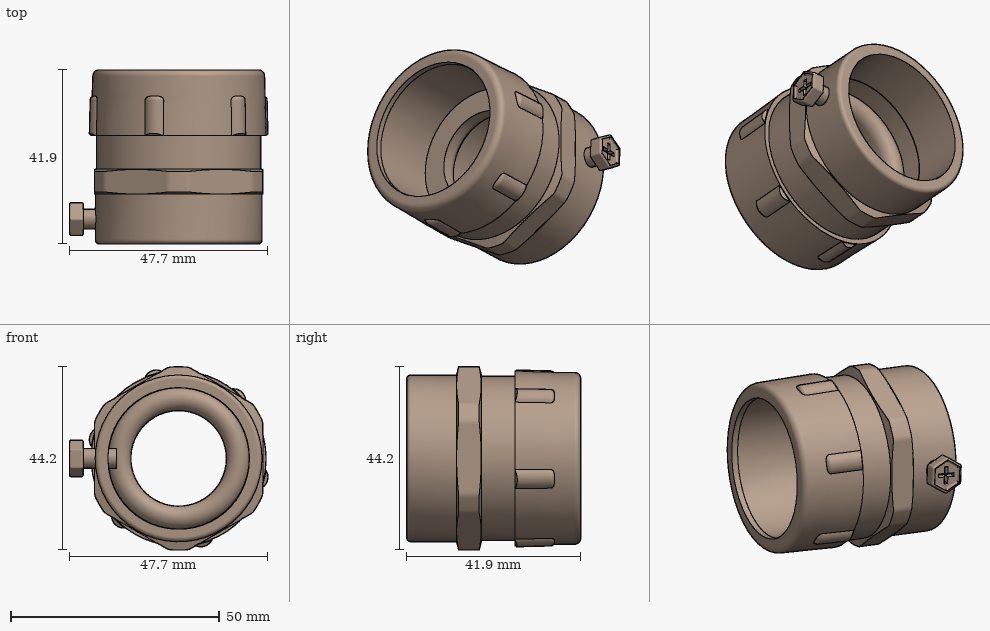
import cadquery as cq
import math


overall_length = 41.9
hex_front = 12.0
hex_back = 18.0
cap_front = 26.05
relief_start = 13.2

mouth_diameter = 40.1
mouth_fillet = 1.0
sleeve_diameter = 39.6
mouth_bore = 33.95
relief_bore = 34.2
throat_bore = 22.9
throat_start = 19.9

hex_flats = 40.5
hex_corner_diameter = 44.15
hex_corner_blend = 2.75
hex_bevel_angle = 15.0

cap_front_diameter = 42.1
cap_back_diameter = 41.4
cap_back_fillet = 1.58
cap_lip = cap_back_fillet

rib_count = 6
rib_first_angle = 46.3
rib_radius = 2.95
rib_axis_offset = 19.1
rib_length = 9.5
rib_back_fillet = 1.05
rib_front_bevel = 0.55

screw_y = 6.0
screw_turn = 2.3
shank_diameter = 4.8
shank_tip_x = -15.0
head_under_x = -22.9
head_height = 3.35
head_flats = 7.8
head_round = 0.5
recess_flats = 6.65
recess_depth = 0.55
recess_floor_fillet = 0.53
cross_length = 4.25
cross_width = 0.9
cross_depth = 0.85
cross_draft = 25.0

housing_back = overall_length - cap_lip
cone_length = overall_length - cap_back_fillet - cap_front
cone_slope = (cap_front_diameter - cap_back_diameter) / 2 / cone_length
cone_angle = math.degrees(math.atan(cone_slope))
throat_round = (relief_bore - throat_bore) / 4
throat_back = throat_start + throat_round
throat_crest_radius = throat_bore / 2 + throat_round


def hexagon_diameter(flats):
    """Corner-to-corner diameter of a hexagon with the given width across flats."""
    return flats / math.cos(math.radians(30))


def revolve_about_y(profile):
    """Revolve an XY profile (X is the radius) fully around the Y axis."""
    return profile.close().revolve(360, (0, 0, 0), (0, 1, 0))


def tube(outer_diameter, start, end):
    """Solid round bar along Y between two stations."""
    plane = cq.Workplane("XZ", origin=(0, start, 0))
    return plane.circle(outer_diameter / 2).extrude(start - end)


def wrench_hexagon():
    """Hexagon with rounded-off corners at top and bottom, bevelled on both end faces."""
    width = hex_back - hex_front
    hexagon = (
        cq.Workplane("XZ", origin=(0, hex_front, 0))
        .transformed(rotate=(0, 0, 90))
        .polygon(6, hexagon_diameter(hex_flats))
        .extrude(-width)
        .intersect(tube(hex_corner_diameter, hex_front, hex_back))
        .edges("|Y")
        .fillet(hex_corner_blend)
    )
    flat_radius = mouth_diameter / 2
    outer_radius = hexagon_diameter(hex_flats) / 2
    rise = (outer_radius - flat_radius) * math.tan(math.radians(hex_bevel_angle))
    bevel_envelope = revolve_about_y(
        cq.Workplane("XY")
        .moveTo(0, hex_front)
        .lineTo(flat_radius, hex_front)
        .lineTo(outer_radius, hex_front + rise)
        .lineTo(outer_radius, hex_back - rise)
        .lineTo(flat_radius, hex_back)
        .lineTo(0, hex_back)
    )
    return hexagon.intersect(bevel_envelope)


def bore_space():
    """Space inside the housing: mouth, relief, half-round throat ring and back opening."""
    return revolve_about_y(
        cq.Workplane("XY")
        .lineTo(mouth_bore / 2, 0)
        .lineTo(mouth_bore / 2, relief_start)
        .lineTo(relief_bore / 2, relief_start)
        .lineTo(relief_bore / 2, throat_start)
        .threePointArc(
            (throat_crest_radius, throat_start - throat_round),
            (throat_bore / 2, throat_start),
        )
        .lineTo(throat_bore / 2, throat_back)
        .lineTo(relief_bore / 2, throat_back)
        .lineTo(relief_bore / 2, housing_back)
        .lineTo(0, housing_back)
    )


def screw_shank():
    """Round shank from the underside of the screw head to the tip inside the bore."""
    plane = cq.Workplane("YZ", origin=(head_under_x, screw_y, 0))
    return plane.circle(shank_diameter / 2).extrude(shank_tip_x - head_under_x)


def make_housing():
    mouth = tube(mouth_diameter, 0, hex_back).faces("<Y").edges().fillet(mouth_fillet)
    sleeve = tube(sleeve_diameter, hex_front, housing_back)
    solid = mouth.union(sleeve).union(wrench_hexagon())
    return solid.cut(bore_space()).cut(screw_shank())


def cap_envelope():
    """Outer form of the cap: a slight cone with a rounded back edge."""
    back_radius = cap_front_diameter / 2 - cone_slope * (overall_length - cap_front)
    cone = revolve_about_y(
        cq.Workplane("XY")
        .moveTo(0, cap_front)
        .lineTo(cap_front_diameter / 2, cap_front)
        .lineTo(back_radius, overall_length)
        .lineTo(0, overall_length)
    )
    return cone.faces(">Y").edges().fillet(cap_back_fillet)


def make_cap():
    socket = tube(sleeve_diameter, cap_front, housing_back)
    opening = tube(relief_bore, housing_back, overall_length)
    return cap_envelope().cut(socket).cut(opening)


def rib_front_waste():
    """Block ahead of the rib, whose sloping side bevels the rib down to the cap's front edge."""
    foot = cap_front_diameter / 2
    crest = rib_axis_offset + rib_radius
    run_up = rib_front_bevel / (crest - foot)
    top = crest + rib_radius
    return (
        cq.Workplane("XY")
        .moveTo(0, cap_front)
        .lineTo(foot, cap_front)
        .lineTo(top, cap_front + run_up * (top - foot))
        .lineTo(top, cap_front - rib_radius)
        .lineTo(0, cap_front - rib_radius)
        .close()
        .extrude(2 * rib_radius, both=True)
    )


def make_rib(angle):
    """Round grip rib lying along the cone of the cap at an angle about the axis."""
    bar = (
        cq.Workplane("XZ", origin=(rib_axis_offset, cap_front, 0))
        .circle(rib_radius)
        .extrude(-rib_length)
        .faces(">Y")
        .edges()
        .fillet(rib_back_fillet)
    )
    pivot = (rib_axis_offset, cap_front, 0)
    pivot_end = (rib_axis_offset, cap_front, 1)
    leaning_bar = bar.rotate(pivot, pivot_end, cone_angle)
    rib = leaning_bar.cut(cap_envelope()).cut(rib_front_waste())
    return rib.rotate((0, 0, 0), (0, 1, 0), -angle)


def make_screw():
    head_top_x = head_under_x - head_height
    head = (
        cq.Workplane("YZ", origin=(head_top_x, 0, 0))
        .transformed(rotate=(0, 0, 90))
        .polygon(6, hexagon_diameter(head_flats))
        .extrude(head_height)
        .edges()
        .fillet(head_round)
    )
    recess = (
        cq.Workplane("YZ", origin=(head_top_x, 0, 0))
        .transformed(rotate=(0, 0, 90))
        .polygon(6, hexagon_diameter(recess_flats))
        .extrude(recess_depth)
        .faces(">X")
        .edges()
        .fillet(recess_floor_fillet)
    )
    head = head.cut(recess)
    for arm_angle in (0, 90):
        arm = (
            cq.Workplane("YZ", origin=(head_top_x + recess_depth, 0, 0))
            .transformed(rotate=(0, 0, arm_angle))
            .rect(cross_length, cross_width)
            .extrude(cross_depth, taper=cross_draft)
        )
        head = head.cut(arm)
    head = head.rotate((0, 0, 0), (1, 0, 0), screw_turn).translate((0, screw_y, 0))
    return head.union(screw_shank())


housing = make_housing()
cap = make_cap()
screw = make_screw()
ribs = [make_rib(rib_first_angle + i * 360 / rib_count) for i in range(rib_count)]

result = cq.Compound.makeCompound(
    [housing.val(), cap.val(), screw.val(), *[rib.val() for rib in ribs]]
)